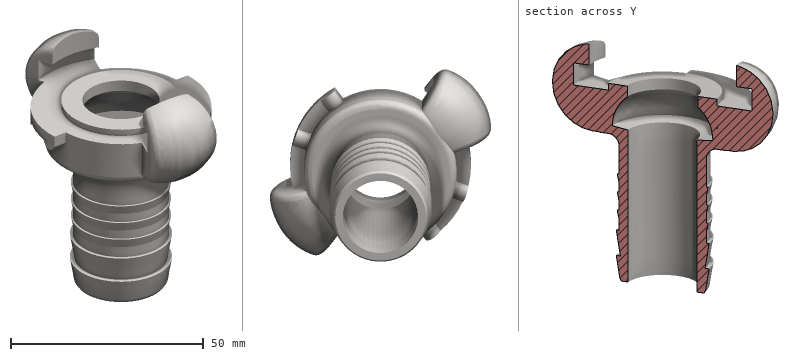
import cadquery as cq
import math

overall_height = 63.9
flange_bottom = 39.95
flange_top = 51.95
collar_top = 53.8
lug_bottom = 48.95

bore_radius = 19.5 / 2
mouth_radius = 20.0 / 2
chamber_radius = 28.5 / 2
shank_radius = 25.0 / 2
flange_radius = 19.8
collar_radius = 31.0 / 2
flange_fillet = 2.05
neck_fillet = 2.95

ring_tops = (29.4, 24.4, 19.4)
ring_height = 2.5
ring_radius = 13.05
barb_height = 6.95
barb_count = 2
barb_top_radius = 13.3
barb_root_radius = 12.15
end_chamfer = 0.75

mouth_depth = 3.05
chamber_bottom = 42.3
floor_drop = 0.5

lug_radius = 47.0 / 2
lug_step = 2.35
bump_radius = lug_step
bump_drop = 1.7
bump_angles = (0, 35)

claw_reach = 62.95 / 2
claw_radius = overall_height - flange_top
claw_centre = claw_reach - claw_radius
crown_radius = 17.25
claw_half_angle = 21.0
claw_root = 17.25
claw_fillet = 2.05
tip_inner_radius = 20.95
slot_radius = 25.3
slot_top = 57.9


def disc(radius, bottom, top):
    return cq.Workplane("XY").workplane(offset=bottom).circle(radius).extrude(top - bottom)


def cone(bottom_radius, top_radius, bottom, top):
    outline = [(0, bottom), (bottom_radius, bottom), (top_radius, top), (0, top)]
    return cq.Workplane("XZ").polyline(outline).close().revolve(360, (0, 0), (0, 1))


def turned_body():
    """Shank, neck fillet, flange and collar as one revolved outline."""
    diagonal = math.sqrt(0.5)
    neck_x = shank_radius + neck_fillet
    neck_z = flange_bottom - neck_fillet
    rim_x = flange_radius - flange_fillet
    rim_z = flange_bottom + flange_fillet
    barbs_top = barb_count * barb_height
    return (
        cq.Workplane("XZ")
        .moveTo(0, barbs_top)
        .lineTo(shank_radius, barbs_top)
        .lineTo(shank_radius, neck_z)
        .threePointArc(
            (neck_x - neck_fillet * diagonal, neck_z + neck_fillet * diagonal),
            (neck_x, flange_bottom),
        )
        .lineTo(rim_x, flange_bottom)
        .threePointArc(
            (rim_x + flange_fillet * diagonal, rim_z - flange_fillet * diagonal),
            (flange_radius, rim_z),
        )
        .lineTo(flange_radius, flange_top)
        .lineTo(collar_radius, flange_top)
        .lineTo(collar_radius, collar_top)
        .lineTo(0, collar_top)
        .close()
        .revolve(360, (0, 0), (0, 1))
    )


def hose_grip():
    """Tapered barbs at the hose end and the rings above them."""
    grip = cone(barb_root_radius, barb_top_radius, 0, barb_height)
    grip = grip.faces("<Z").chamfer(end_chamfer / 2, end_chamfer)
    for index in range(1, barb_count):
        bottom = index * barb_height
        grip = grip.union(cone(barb_root_radius, barb_top_radius, bottom, bottom + barb_height))
    for top in ring_tops:
        grip = grip.union(cone(shank_radius, ring_radius, top - ring_height, top))
    return grip


def lug():
    """Lug on the -X, -Y side with its bumps."""
    size = 2 * lug_radius
    corner = cq.Workplane("XY").box(size, size, flange_top, centered=False)
    corner = corner.translate((lug_step - size, -size, 0))
    body = disc(lug_radius, lug_bottom, flange_top)
    bump_centre = lug_bottom - bump_drop + bump_radius
    for angle in bump_angles:
        bump = cq.Workplane("XZ").center(0, bump_centre).circle(bump_radius).extrude(size)
        below_top = disc(lug_radius, lug_bottom - bump_drop, flange_top)
        body = body.union(bump.intersect(below_top).rotate((0, 0, 0), (0, 0, 1), -angle))
    return body.intersect(corner)


def claw():
    """Claw on the +X side, hooked over the flange."""
    half_width = claw_reach * math.tan(math.radians(claw_half_angle))
    edge_radius = claw_radius - crown_radius + math.sqrt(crown_radius**2 - half_width**2)
    barrel = (
        cq.Workplane("XY")
        .moveTo(0, -half_width)
        .lineTo(edge_radius, -half_width)
        .threePointArc((claw_radius, 0), (edge_radius, half_width))
        .lineTo(0, half_width)
        .close()
        .revolve(360, (0, 0), (0, 1))
        .rotate((0, 0, 0), (0, 1, 0), 180)
        .translate((claw_centre, 0, flange_top))
    )
    root_half_width = half_width * claw_root / claw_reach
    wedge = (
        cq.Workplane("XY")
        .moveTo(claw_root, -root_half_width)
        .lineTo(claw_reach, -half_width)
        .lineTo(claw_reach, half_width)
        .lineTo(claw_root, root_half_width)
        .close()
        .extrude(2 * flange_top)
    )
    body = barrel.intersect(wedge)
    body = body.edges(">Y or <Y").fillet(claw_fillet)
    body = body.cut(disc(tip_inner_radius, flange_top, 2 * flange_top))
    return body.cut(disc(slot_radius, flange_top, slot_top))


def bore():
    """Through bore with the seal chamber behind a slightly wider mouth."""
    mouth_bottom = collar_top - mouth_depth
    widening = chamber_radius - mouth_radius
    chamber_height = mouth_bottom - chamber_bottom
    wall_arc = (widening**2 + chamber_height**2) / (2 * widening)
    half_turn = math.asin(chamber_height / wall_arc) / 2
    wall_middle = (
        chamber_radius - wall_arc * (1 - math.cos(half_turn)),
        chamber_bottom + wall_arc * math.sin(half_turn),
    )
    return (
        cq.Workplane("XZ")
        .lineTo(bore_radius, 0)
        .lineTo(bore_radius, chamber_bottom - floor_drop)
        .lineTo(chamber_radius, chamber_bottom)
        .threePointArc(wall_middle, (mouth_radius, mouth_bottom))
        .lineTo(mouth_radius, collar_top)
        .lineTo(0, collar_top)
        .close()
        .revolve(360, (0, 0), (0, 1))
    )


result = turned_body().union(hose_grip())
for turn in (0, 180):
    for feature in (lug(), claw()):
        result = result.union(feature.rotate((0, 0, 0), (0, 0, 1), turn))
result = result.cut(bore())